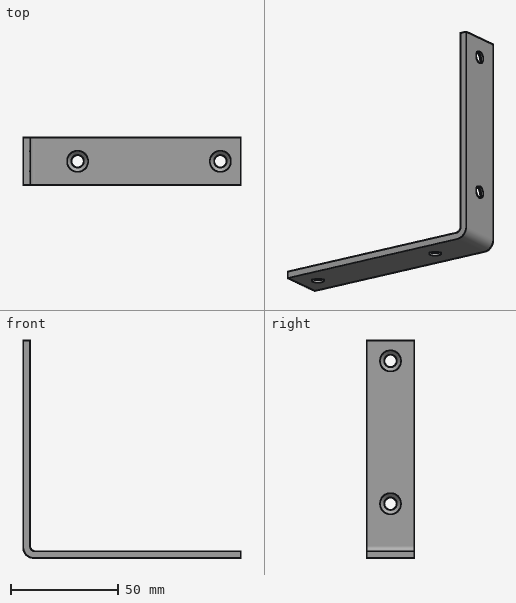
import cadquery as cq

leg_length = 101.6
width = 22.3
thickness = 3.3
inner_bend_radius = 2.3
outer_bend_radius = 5.0

hole_positions = (25.4, 92.0)
hole_diameter = 5.7
countersink_diameter = 9.9
countersink_angle = 90.0


def bent_strip():
    """L-shaped strip with rounded inner and outer bend, centred on Y = 0."""
    outline = (
        cq.Workplane("XZ")
        .polyline([
            (0, 0),
            (leg_length, 0),
            (leg_length, thickness),
            (thickness, thickness),
            (thickness, leg_length),
            (0, leg_length),
        ])
        .close()
    )
    strip = outline.extrude(width / 2, both=True)
    outer_corner = cq.NearestToPointSelector((0, 0, 0))
    inner_corner = cq.NearestToPointSelector((thickness, 0, thickness))
    strip = strip.edges("|Y").edges(outer_corner).fillet(outer_bend_radius)
    return strip.edges("|Y").edges(inner_corner).fillet(inner_bend_radius)


def drill_legs(body):
    """Drill both legs, with the countersinks on the inside of the angle."""
    floor = cq.Workplane("XY", origin=(0, 0, thickness))
    wall = cq.Workplane("YZ", origin=(thickness, 0, 0))
    floor_points = [(distance, 0) for distance in hole_positions]
    wall_points = [(0, distance) for distance in hole_positions]
    for plane, points in ((floor, floor_points), (wall, wall_points)):
        body = (
            body.copyWorkplane(plane)
            .pushPoints(points)
            .cskHole(hole_diameter, countersink_diameter, countersink_angle, depth=thickness)
        )
    return body


result = drill_legs(bent_strip())